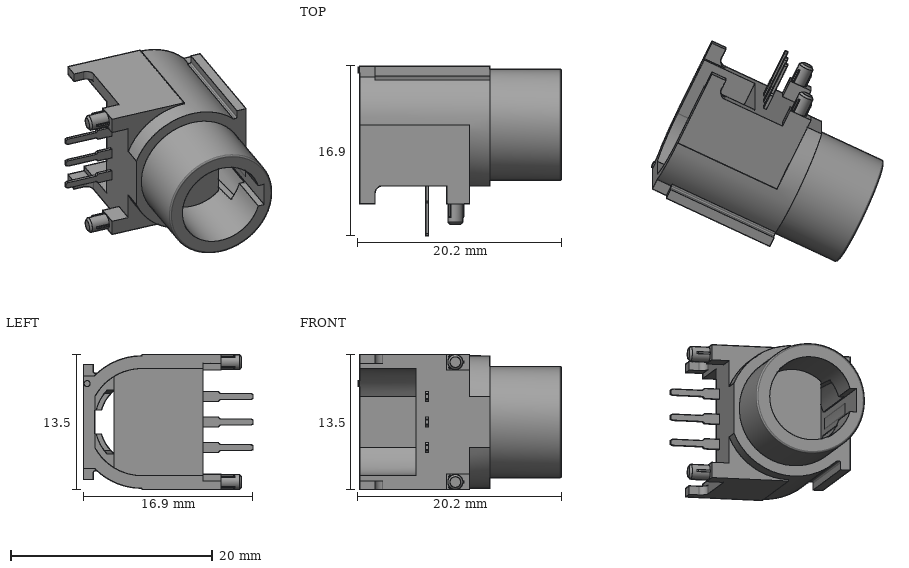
import cadquery as cq
import math


HOUSING_LENGTH = 12.96
BLOCK_LENGTH = 10.94
TOTAL_LENGTH = 20.07

SHELL_RADIUS = 6.6
BLOCK_HALF_WIDTH = 6.73
UNDERSIDE_Y = -6.09
TOP_Y = 5.83

FRONT_PLATE_LENGTH = 1.54
FRONT_PLATE_HALF_WIDTH = 4.6
RAIL_HALF_WIDTH = 5.735
RAIL_UNDERSIDE_Y = 4.83
RAIL_NECK_HALF_WIDTH = 4.865
RAIL_FILLET = 0.15

BARREL_RADIUS = 5.55
BARREL_EDGE_FILLET = 0.15

CAVITY_RADIUS = 5.33
CAVITY_CEILING_Y = 4.68
CAVITY_DEPTH = 5.58
UPPER_CAVITY_DEPTH = 6.88
TERMINAL_BLOCK_TOP_Y = 2.81

BORE_RADIUS = 4.2
KEYWAY_HALF_WIDTH = 1.18
RECESS_RADIUS = 4.71
RECESS_MOUTH_HALF_WIDTH = 3.18
RECESS_FLOOR_HALF_WIDTH = 2.83
RECESS_DEPTH = 8.5

FOOT_BOTTOM_Y = -7.86
FRONT_FOOT_LENGTH = FRONT_PLATE_LENGTH
FRONT_FOOT_WIDTH = 0.88
FRONT_FOOT_FILLET = 0.74
REAR_FOOT_LENGTH = 2.3
REAR_FOOT_WIDTH = 1.55

POST_X = 9.52
POST_RADIUS = 0.75
POST_EDGE_INSET = 0.015
POST_Z = BLOCK_HALF_WIDTH - POST_RADIUS - POST_EDGE_INSET
POST_END_Y = -9.91
POST_CHAMFER = 0.22
RIB_END_Y = -9.24
RIB_REACH = 0.87
RIB_HALF_WIDTH = 0.1
RIB_SLOPE = RIB_REACH - POST_RADIUS
RIB_ANGLES = (0, 135, 225)

TERMINAL_PITCH = 2.54
TERMINAL_X = 6.56
TERMINAL_THICKNESS = 0.3
TERMINAL_END_Y = -11.06
SHOULDER_HALF_WIDTH = 0.51
SHOULDER_END_Y = -7.59
BLADE_HALF_WIDTH = 0.31
BLADE_START_Y = -7.78
TIP_HALF_WIDTH = 0.2
TIP_LENGTH = 0.22

DOT_RADIUS = 0.3
DOT_HEIGHT = 0.15
DOT_Y = 5.46
DOT_Z = 3.825


def box(x_range, y_range, z_range):
    """Axis-aligned box given its limits along each axis."""
    (x0, x1), (y0, y1), (z0, z1) = x_range, y_range, z_range
    return cq.Workplane("XY").box(x1 - x0, y1 - y0, z1 - z0, centered=False).translate((x0, y0, z0))


def axial_cylinder(radius, x0, x1):
    """Cylinder on the jack axis."""
    return cq.Workplane("YZ").workplane(offset=x0).circle(radius).extrude(x1 - x0)


def make_shell():
    """Round housing, flattened underneath, with the straight-sided block below the axis."""
    shell = axial_cylinder(SHELL_RADIUS, 0, HOUSING_LENGTH).intersect(
        box(
            (0, HOUSING_LENGTH),
            (UNDERSIDE_Y, RAIL_UNDERSIDE_Y),
            (-SHELL_RADIUS, SHELL_RADIUS),
        )
    )
    block = box((0, BLOCK_LENGTH), (UNDERSIDE_Y, 0), (-BLOCK_HALF_WIDTH, BLOCK_HALF_WIDTH))
    return shell.union(block)


def make_top_plate():
    """Narrow plate at the rear, then a T-shaped stretch whose edges form the rails."""
    neck_bottom_y = math.sqrt(SHELL_RADIUS**2 - RAIL_NECK_HALF_WIDTH**2)
    front_bottom_y = math.sqrt(SHELL_RADIUS**2 - FRONT_PLATE_HALF_WIDTH**2)
    front = box(
        (0, FRONT_PLATE_LENGTH),
        (front_bottom_y, TOP_Y),
        (-FRONT_PLATE_HALF_WIDTH, FRONT_PLATE_HALF_WIDTH),
    )
    rail_span = (FRONT_PLATE_LENGTH, HOUSING_LENGTH)
    neck = box(rail_span, (neck_bottom_y, RAIL_UNDERSIDE_Y), (-RAIL_NECK_HALF_WIDTH, RAIL_NECK_HALF_WIDTH))
    rails = box(rail_span, (RAIL_UNDERSIDE_Y, TOP_Y), (-RAIL_HALF_WIDTH, RAIL_HALF_WIDTH)).union(neck)
    for side in (-1, 1):
        corner = (HOUSING_LENGTH / 2, RAIL_UNDERSIDE_Y, side * RAIL_NECK_HALF_WIDTH)
        rails = rails.edges(cq.selectors.NearestToPointSelector(corner)).fillet(RAIL_FILLET)
    return front.union(rails)


def make_barrel():
    """Round barrel with a softened front edge."""
    barrel = axial_cylinder(BARREL_RADIUS, CAVITY_DEPTH, TOTAL_LENGTH)
    return barrel.faces(">X").edges().fillet(BARREL_EDGE_FILLET)


def make_cavity():
    """Arched cavity open to the rear and to the underside; deeper above the terminal block."""
    ceiling_half_width = math.sqrt(CAVITY_RADIUS**2 - CAVITY_CEILING_Y**2)
    arch_side = CAVITY_RADIUS * math.sqrt(0.5)
    arch = (
        cq.Workplane("YZ")
        .moveTo(UNDERSIDE_Y, -CAVITY_RADIUS)
        .lineTo(0, -CAVITY_RADIUS)
        .threePointArc((arch_side, -arch_side), (CAVITY_CEILING_Y, -ceiling_half_width))
        .lineTo(CAVITY_CEILING_Y, ceiling_half_width)
        .threePointArc((arch_side, arch_side), (0, CAVITY_RADIUS))
        .lineTo(UNDERSIDE_Y, CAVITY_RADIUS)
        .close()
        .extrude(UPPER_CAVITY_DEPTH)
    )
    terminal_block = box(
        (CAVITY_DEPTH, UPPER_CAVITY_DEPTH),
        (UNDERSIDE_Y, TERMINAL_BLOCK_TOP_Y),
        (-CAVITY_RADIUS, CAVITY_RADIUS),
    )
    return arch.cut(terminal_block)


def make_bore():
    """Bore with its keyway: round in the barrel, only the part above the terminal block behind it."""
    above_block = box(
        (UPPER_CAVITY_DEPTH, HOUSING_LENGTH),
        (TERMINAL_BLOCK_TOP_Y, BARREL_RADIUS),
        (-BARREL_RADIUS, BARREL_RADIUS),
    )
    rear_bore = axial_cylinder(BORE_RADIUS, UPPER_CAVITY_DEPTH, HOUSING_LENGTH).intersect(above_block)
    barrel_bore = axial_cylinder(BORE_RADIUS, HOUSING_LENGTH, TOTAL_LENGTH)
    keyway = box(
        (UPPER_CAVITY_DEPTH, TOTAL_LENGTH),
        (TERMINAL_BLOCK_TOP_Y, CAVITY_CEILING_Y),
        (-KEYWAY_HALF_WIDTH, KEYWAY_HALF_WIDTH),
    )
    return rear_bore.union(barrel_bore).union(keyway)


def make_recess():
    """Recess around the rear end of the bore; its two end walls close in with depth."""
    tapered_prism = (
        cq.Workplane("XZ", origin=(UPPER_CAVITY_DEPTH, TERMINAL_BLOCK_TOP_Y, 0))
        .moveTo(0, -RECESS_MOUTH_HALF_WIDTH)
        .lineTo(RECESS_DEPTH, -RECESS_FLOOR_HALF_WIDTH)
        .lineTo(RECESS_DEPTH, RECESS_FLOOR_HALF_WIDTH)
        .lineTo(0, RECESS_MOUTH_HALF_WIDTH)
        .close()
        .extrude(-RECESS_RADIUS)
    )
    return tapered_prism.intersect(
        axial_cylinder(RECESS_RADIUS, UPPER_CAVITY_DEPTH, UPPER_CAVITY_DEPTH + RECESS_DEPTH)
    )


def make_feet():
    """Filleted front foot and plain rear foot of the +Z side."""
    front = (
        cq.Workplane("XY")
        .workplane(offset=BLOCK_HALF_WIDTH - FRONT_FOOT_WIDTH)
        .moveTo(0, UNDERSIDE_Y)
        .lineTo(0, FOOT_BOTTOM_Y)
        .lineTo(FRONT_FOOT_LENGTH, FOOT_BOTTOM_Y)
        .lineTo(FRONT_FOOT_LENGTH, UNDERSIDE_Y - FRONT_FOOT_FILLET)
        .radiusArc((FRONT_FOOT_LENGTH + FRONT_FOOT_FILLET, UNDERSIDE_Y), FRONT_FOOT_FILLET)
        .close()
        .extrude(FRONT_FOOT_WIDTH)
    )
    rear = box(
        (BLOCK_LENGTH - REAR_FOOT_LENGTH, BLOCK_LENGTH),
        (FOOT_BOTTOM_Y, UNDERSIDE_Y),
        (BLOCK_HALF_WIDTH - REAR_FOOT_WIDTH, BLOCK_HALF_WIDTH),
    )
    return front.union(rear)


def make_rib(z, angle):
    """Crush rib along a post, set at an angle about the post axis, with its lower end sloped off."""
    rib = (
        cq.Workplane("XY", origin=(POST_X, 0, z - RIB_HALF_WIDTH))
        .moveTo(0, FOOT_BOTTOM_Y)
        .lineTo(RIB_REACH, FOOT_BOTTOM_Y)
        .lineTo(RIB_REACH, RIB_END_Y + RIB_SLOPE)
        .lineTo(RIB_REACH - RIB_SLOPE, RIB_END_Y)
        .lineTo(0, RIB_END_Y)
        .close()
        .extrude(2 * RIB_HALF_WIDTH)
    )
    return rib.rotate((POST_X, 0, z), (POST_X, 1, z), angle)


def make_post(z):
    """Locating post below a rear foot, with its crush ribs."""
    post = (
        cq.Workplane("XZ", origin=(POST_X, FOOT_BOTTOM_Y, z))
        .circle(POST_RADIUS)
        .extrude(FOOT_BOTTOM_Y - POST_END_Y)
        .faces("<Y")
        .chamfer(POST_CHAMFER)
    )
    for angle in RIB_ANGLES:
        post = post.union(make_rib(z, angle))
    return post


def make_terminal(z):
    """Flat terminal: wide shoulder, narrower blade and a tapered tip."""
    half_outline = [
        (UNDERSIDE_Y, SHOULDER_HALF_WIDTH),
        (SHOULDER_END_Y, SHOULDER_HALF_WIDTH),
        (BLADE_START_Y, BLADE_HALF_WIDTH),
        (TERMINAL_END_Y + TIP_LENGTH, BLADE_HALF_WIDTH),
        (TERMINAL_END_Y, TIP_HALF_WIDTH),
    ]
    mirrored = [(y, -half_width) for y, half_width in reversed(half_outline)]
    return (
        cq.Workplane("YZ", origin=(TERMINAL_X, 0, z))
        .polyline(half_outline + mirrored)
        .close()
        .extrude(TERMINAL_THICKNESS)
    )


def make_dot():
    """Raised round mark on the rear face."""
    return cq.Workplane("YZ").center(DOT_Y, DOT_Z).circle(DOT_RADIUS).extrude(-DOT_HEIGHT)


body = make_shell().union(make_top_plate()).union(make_barrel())
body = body.cut(make_cavity()).cut(make_bore()).cut(make_recess())

feet = make_feet()
body = body.union(feet).union(feet.mirror("XY"))
for side in (-1, 1):
    body = body.union(make_post(side * POST_Z))
for position in (-1, 0, 1):
    body = body.union(make_terminal(position * TERMINAL_PITCH))

result = body.union(make_dot())